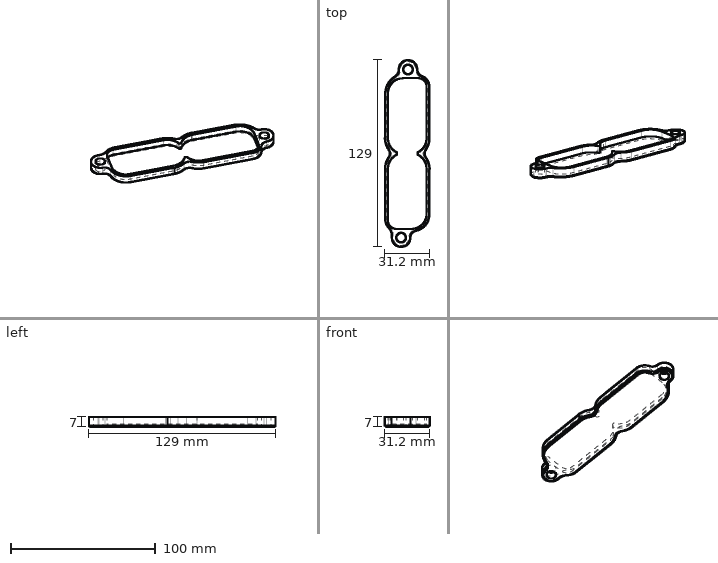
import cadquery as cq
import math

length = 129.0
height = 7.0
floor_thickness = 2.0
bottom_chamfer = 1.0

half_width = 15.4
wall = 2.0
pocket_half_width = half_width - wall
pocket_half_length = 52.0

lug_radius = 6.5
lug_y = length / 2 - lug_radius
top_lug_x = 0.5
bottom_lug_x = -4.3
lug_hole_diameter = 6.5

top_left_corner = (15.0, 40.6, 4.9)
top_right_corner = (8.0, 45.9, 4.9)
bottom_left_corner = (9.0, 44.9, 8.0)
bottom_right_corner = (11.9, 41.8, 4.6)

pocket_top_left = 10.3
pocket_top_right = 5.4
pocket_bottom_left = 5.4
pocket_bottom_right = 10.0

shoulder_y = 10.3
outer_shoulder_radius = 12.9
outer_waist_half_height = 2.8
pocket_shoulder_radius = 10.6
pocket_waist_half_height = 0.9

step_width = 0.19
step_length = 1.3

half_turn = math.pi
quarter_turn = math.pi / 2


def on_circle(center, radius, angle):
    return (center[0] + radius * math.cos(angle), center[1] + radius * math.sin(angle))


def arc(path, center, radius, start, end):
    """Draw a circular arc between two angles, beginning at the current point."""
    middle = on_circle(center, radius, (start + end) / 2)
    return path.threePointArc(middle, on_circle(center, radius, end))


def waist(path, side, side_x, radius, half_height):
    """Shoulder, inward tip, shoulder: climbing on the +X side (side 1), descending on -X (side -1)."""
    center_x = side_x - radius
    turn = math.asin((shoulder_y - half_height) / radius)
    end_x = center_x + radius * math.cos(turn)
    tip_radius = half_height / math.sin(turn)
    tip_x = end_x - tip_radius * (1 - math.cos(turn))
    shoulder_x = center_x + radius * math.cos(turn / 2)
    shoulder_mid_y = shoulder_y - radius * math.sin(turn / 2)
    return (
        path.lineTo(side * side_x, -side * shoulder_y)
        .threePointArc((side * shoulder_x, -side * shoulder_mid_y), (side * end_x, -side * half_height))
        .threePointArc((side * tip_x, 0), (side * end_x, side * half_height))
        .threePointArc((side * shoulder_x, side * shoulder_mid_y), (side * side_x, side * shoulder_y))
    )


def corner_blend(side, end, corner, lug_x):
    """Circles of an outer corner and of the concave blend tangent to it and to the lug side."""
    radius, straight_end, blend_radius = corner
    corner_center = (side * (half_width - radius), end * straight_end)
    blend_x = lug_x + side * (lug_radius + blend_radius)
    reach = radius + blend_radius
    offset_x = blend_x - corner_center[0]
    offset_y = end * math.sqrt(reach**2 - offset_x**2)
    blend_center = (blend_x, corner_center[1] + offset_y)
    return corner_center, blend_center, math.atan2(offset_y, offset_x)


def lug_end(path, end, first_corner, second_corner, lug_x):
    """Counter-clockwise run from one straight side, around a lug, to the other side."""
    side = end
    start = 0 if end > 0 else -half_turn
    finish = start + half_turn

    corner_radius, _, blend_radius = first_corner
    center, blend, angle = corner_blend(side, end, first_corner, lug_x)
    path = path.lineTo(side * half_width, center[1])
    path = arc(path, center, corner_radius, start, angle)
    path = arc(path, blend, blend_radius, angle + half_turn, finish)

    path = path.lineTo(lug_x + side * lug_radius, end * lug_y)
    path = path.threePointArc((lug_x, end * (lug_y + lug_radius)), (lug_x - side * lug_radius, end * lug_y))

    corner_radius, _, blend_radius = second_corner
    center, blend, angle = corner_blend(-side, end, second_corner, lug_x)
    path = path.lineTo(lug_x - side * lug_radius, blend[1])
    path = arc(path, blend, blend_radius, finish - half_turn, angle - half_turn)
    return arc(path, center, corner_radius, angle, finish)


def outer_side(path, side):
    return waist(path, side, half_width, outer_shoulder_radius, outer_waist_half_height)


def make_outline():
    _, right_side_end, _ = bottom_right_corner
    path = cq.Workplane("XY").moveTo(half_width, -right_side_end)
    path = outer_side(path, 1)
    path = lug_end(path, 1, top_right_corner, top_left_corner, top_lug_x)
    path = outer_side(path, -1)
    path = lug_end(path, -1, bottom_left_corner, bottom_right_corner, bottom_lug_x)
    return path.close()


def pocket_end(path, end, first_radius, second_radius):
    """Two rounded pocket corners joined by the straight end wall."""
    start = 0 if end > 0 else -half_turn
    first = (end * (pocket_half_width - first_radius), end * (pocket_half_length - first_radius))
    second = (-end * (pocket_half_width - second_radius), end * (pocket_half_length - second_radius))
    path = path.lineTo(end * pocket_half_width, first[1])
    path = arc(path, first, first_radius, start, start + quarter_turn)
    path = path.lineTo(second[0], end * pocket_half_length)
    return arc(path, second, second_radius, start + quarter_turn, start + half_turn)


def pocket_side(path, side):
    return waist(path, side, pocket_half_width, pocket_shoulder_radius, pocket_waist_half_height)


def make_pocket():
    start_y = pocket_bottom_right - pocket_half_length
    path = cq.Workplane("XY").workplane(offset=floor_thickness).moveTo(pocket_half_width, start_y)
    path = pocket_side(path, 1)
    path = pocket_end(path, 1, pocket_top_right, pocket_top_left)
    path = pocket_side(path, -1)
    path = pocket_end(path, -1, pocket_bottom_left, pocket_bottom_right)
    return path.close().extrude(height - floor_thickness)


def make_lug_holes():
    return (
        cq.Workplane("XY")
        .pushPoints([(top_lug_x, lug_y), (bottom_lug_x, -lug_y)])
        .circle(lug_hole_diameter / 2)
        .extrude(height)
    )


def make_side_step(side):
    """Thin wedge rising from the straight side to a peak, then falling tangent to the shoulder arc."""
    peak_x = half_width + step_width
    shoulder_center = (half_width - outer_shoulder_radius, -shoulder_y)
    tangent_angle = math.acos(outer_shoulder_radius / (peak_x - shoulder_center[0]))
    tangent_x, tangent_y = on_circle(shoulder_center, outer_shoulder_radius, tangent_angle)
    points = [
        (half_width, -shoulder_y - step_length),
        (peak_x, -shoulder_y),
        (tangent_x, tangent_y),
        (half_width - wall / 2, -shoulder_y),
    ]
    return (
        cq.Workplane("XY")
        .workplane(offset=bottom_chamfer)
        .polyline([(side * x, side * y) for x, y in points])
        .close()
        .extrude(height - bottom_chamfer)
    )


body = make_outline().extrude(height).faces("<Z").chamfer(bottom_chamfer)
for side in (1, -1):
    body = body.union(make_side_step(side))
result = body.cut(make_pocket()).cut(make_lug_holes())